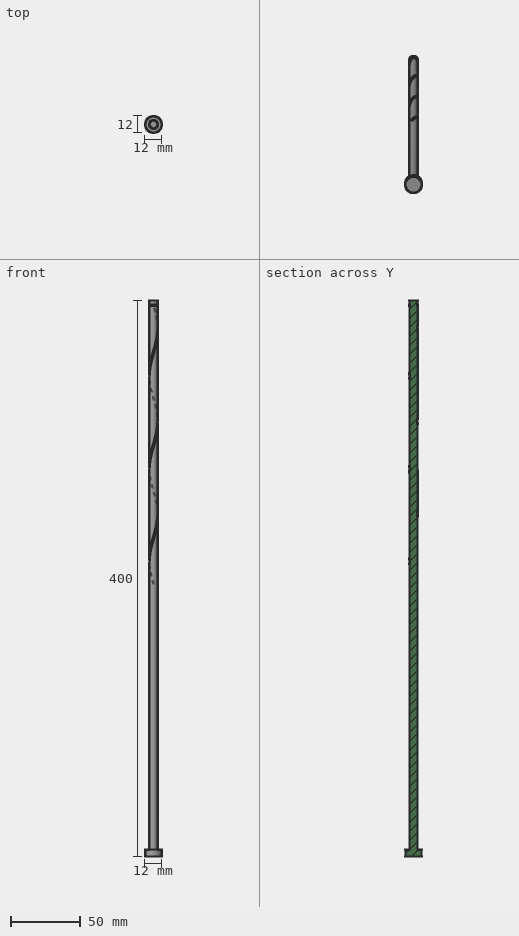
import cadquery as cq

total_length = 400.0
shaft_diameter = 6.2
head_diameter = 12.0
head_height = 5.0
seam_angle = 180.0

groove_width = 1.0
groove_depth = groove_width / 2

tip_land_length = 3.0
ring_groove_bottom_z = total_length - tip_land_length - groove_width

helix_turns = 3
helix_height = 200.0
helix_bottom_z = ring_groove_bottom_z - helix_height
helix_start_angle = 90.0

shaft_radius = shaft_diameter / 2


def turn_about_z(body, angle):
    return body.rotate((0, 0, 0), (0, 0, 1), angle)


def make_pin():
    """Plain round shaft standing on a disc head, both centred on Z."""
    head = cq.Workplane("XY").circle(head_diameter / 2).extrude(head_height)
    shaft = cq.Workplane("XY").circle(shaft_radius).extrude(total_length)
    return turn_about_z(head.union(shaft), seam_angle)


def make_ring_cutter():
    """Square-sided ring around the shaft, just below the tip land."""
    return (
        cq.Workplane("XY", origin=(0, 0, ring_groove_bottom_z))
        .circle(shaft_radius + groove_depth)
        .circle(shaft_radius - groove_depth)
        .extrude(groove_width)
    )


def make_helix_cutter():
    """Round section centred on the shaft surface, twisted up around Z."""
    cutter = (
        cq.Workplane("XY")
        .pushPoints([(shaft_radius, 0)])
        .circle(groove_width / 2)
        .twistExtrude(helix_height, 360 * helix_turns)
    )
    return turn_about_z(cutter, helix_start_angle).translate((0, 0, helix_bottom_z))


result = make_pin().cut(make_ring_cutter()).cut(make_helix_cutter())